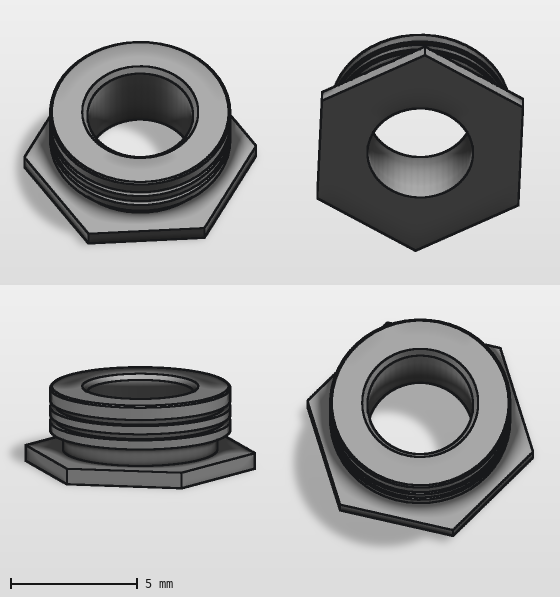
import cadquery as cq

across_corners = 9.15
flange_height = 0.63

neck_diameter = 6.09
groove_diameter = 6.61
rib_diameter = 7.11

neck_height = 0.78
lower_rib_height = 0.37
groove_height = 0.25
middle_rib_height = 0.33
total_height = 3.17
rim_chamfer = 0.07

bore_diameter = 4.16
countersink_diameter = 4.575
countersink_depth = (countersink_diameter - bore_diameter) / 2


def disc(diameter, bottom, height):
    """Solid cylinder on the Z axis, starting at the given level."""
    return cq.Workplane("XY").workplane(offset=bottom).circle(diameter / 2).extrude(height)


body = cq.Workplane("XY").polygon(6, across_corners).extrude(flange_height)

level = flange_height
for diameter, height in (
    (neck_diameter, neck_height),
    (rib_diameter, lower_rib_height),
    (groove_diameter, groove_height),
    (rib_diameter, middle_rib_height),
    (groove_diameter, groove_height),
):
    body = body.union(disc(diameter, level, height))
    level += height

top_rib = disc(rib_diameter, level, total_height - level).faces(">Z").edges().chamfer(rim_chamfer)
body = body.union(top_rib)

result = (
    body.faces(">Z")
    .workplane(origin=(0, 0, total_height))
    .hole(bore_diameter)
    .faces(">Z")
    .edges(cq.selectors.RadiusNthSelector(0))
    .chamfer(countersink_depth)
)